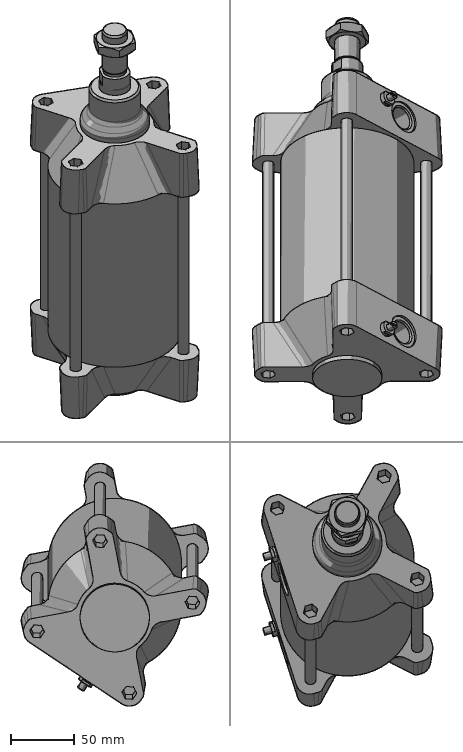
import cadquery as cq
import math


total_width = 122.0
total_height = 333.0
spigot_height = 3.5
head_height = 41.0
barrel_length = 157.0
lower_head_top = spigot_height + head_height
upper_head_bottom = lower_head_top + barrel_length
upper_head_top = upper_head_bottom + head_height
neck_top = 278.0

head_width = 113.0
head_half_width = head_width / 2
head_draft = 1.3
draft_angle = math.degrees(math.atan(head_draft / head_height))
notch_root = 17.3
arm_outer_radius = 11.0
arm_side_radius = 4.3
cone_end_radius = 31.0
cone_fillet = 8.3
bolt_offset = 44.3
socket_width = 10.0
socket_corner_diameter = socket_width / math.cos(math.pi / 6)
socket_depth = 16.5

barrel_diameter = 106.0
tie_rod_diameter = 9.0
collar_diameter = 55.0
neck_diameter = 41.0
collar_cone_bottom = 6.3
collar_blend = 5.5
neck_chamfer = 1.5

port_y = -8.0
port_from_end = 18.5
port_face_diameter = 27.0
port_face_depth = 1.0
port_mouth_diameter = 21.0
port_bore_diameter = 18.5
port_depth = 15.0
bleed_y = 12.0
bleed_from_end = 11.3
bleed_tip_x = head_half_width - total_width
bleed_shank_length = 6.0
bleed_shank_diameter = 6.0
bleed_disc_diameter = 12.0
bleed_flats_width = 9.3
bleed_flats_length = 2.3
bleed_root_x = -53.3
slot_width = 1.0
slot_depth = 1.5

rod_diameter = 25.0
rod_step_z = 283.5
rod_step_height = 0.5
wrench_diameter = 24.5
flats_bottom_z = 284.0
flats_width = 22.5
wrench_top_z = 293.5
relief_diameter = 18.5
thread_bottom_z = 296.5
thread_diameter = 20.0
tip_diameter = 18.0
tip_chamfer_height = 2.0

nut_bottom_z = 316.0
nut_height = 9.0
nut_width = 30.0
nut_corner_diameter = nut_width / math.cos(math.pi / 6)
nut_turn = -3.0
nut_face_diameter = 29.3
nut_chamfer_height = 1.3


def cylinder(diameter, bottom, top):
    return cq.Workplane("XY").workplane(offset=bottom).circle(diameter / 2).extrude(top - bottom)


def side_cylinder(diameter, y, z, start_x, end_x):
    """Cylinder along +X from start_x to end_x."""
    plane = cq.Workplane("YZ", origin=(start_x, y, z))
    return plane.circle(diameter / 2).extrude(end_x - start_x)


def make_arm_plate():
    """Drafted X-shaped plate on z = 0, closed on the -X side, with rounded arm ends."""
    w = head_half_width
    side = w - notch_root
    outline = [
        (-w, -w), (-side, -w), (0, -notch_root), (side, -w),
        (w, -w), (w, -side), (notch_root, 0), (w, side),
        (w, w), (side, w), (0, notch_root), (-side, w), (-w, w),
    ]
    plate = cq.Workplane("XY").polyline(outline).close().extrude(head_height, taper=draft_angle)

    def rises(edge):
        return edge.BoundingBox().zlen > head_height / 2

    def is_outer_corner(edge):
        center = edge.Center()
        return rises(edge) and min(abs(center.x), abs(center.y)) > bolt_offset

    def is_arm_side(edge):
        center = edge.Center()
        nearest = min(abs(center.x), abs(center.y))
        return rises(edge) and notch_root < nearest < bolt_offset

    plate = plate.newObject(plate.edges().filter(is_outer_corner).vals()).fillet(arm_outer_radius)
    return plate.newObject(plate.edges().filter(is_arm_side).vals()).fillet(arm_side_radius)


def add_core_cone(plate):
    """Cone that narrows from the barrel to the outer end, blended into the arm walls."""
    cone = cq.Workplane(
        cq.Solid.makeCone(barrel_diameter / 2, cone_end_radius, head_height)
    )
    head = plate.union(cone)

    def joins_cone_and_wall(edge):
        center = edge.Center()
        rises = edge.BoundingBox().zlen > head_height / 2
        return rises and math.hypot(center.x, center.y) < barrel_diameter / 2

    return head.newObject(head.edges().filter(joins_cone_and_wall).vals()).fillet(cone_fillet)


def cut_port(head):
    """Spot-faced air port with a conical mouth."""
    z = head_height - port_from_end
    outside_x = bleed_tip_x
    face_x = -head_half_width + head_draft + port_face_depth
    mouth_depth = (port_mouth_diameter - port_bore_diameter) / 2
    spot_face = side_cylinder(port_face_diameter, port_y, z, outside_x, face_x)
    bore = side_cylinder(port_bore_diameter, port_y, z, outside_x, face_x + port_depth)
    mouth = cq.Workplane(
        cq.Solid.makeCone(
            port_mouth_diameter / 2,
            port_bore_diameter / 2,
            mouth_depth,
            pnt=cq.Vector(face_x, port_y, z),
            dir=cq.Vector(1, 0, 0),
        )
    )
    return head.cut(spot_face).cut(bore).cut(mouth)


def add_bleed_screw(head):
    """Slotted bleed screw whose round flange has two flats."""
    z = head_height - bleed_from_end
    flange_x = bleed_tip_x + bleed_shank_length
    flats_end_x = flange_x + bleed_flats_length
    shank = side_cylinder(bleed_shank_diameter, bleed_y, z, bleed_tip_x, bleed_root_x)
    flange = side_cylinder(bleed_disc_diameter, bleed_y, z, flats_end_x, bleed_root_x)
    flats = side_cylinder(bleed_disc_diameter, bleed_y, z, flange_x, flats_end_x).intersect(
        cq.Workplane("XY", origin=(flange_x, bleed_y, z)).box(
            2 * bleed_flats_length, bleed_disc_diameter, bleed_flats_width
        )
    )
    slot = cq.Workplane("XY", origin=(bleed_tip_x, bleed_y, z)).box(
        2 * slot_depth, bleed_shank_diameter, slot_width
    )
    return head.union(flange).union(flats).union(shank).cut(slot)


def make_head():
    """End head with its inner face on z = 0, and hexagon sockets in its outer face."""
    head = add_core_cone(make_arm_plate())
    sockets = (
        cq.Workplane("XY", origin=(0, 0, head_height - socket_depth))
        .rect(2 * bolt_offset, 2 * bolt_offset, forConstruction=True)
        .vertices()
        .polygon(6, socket_corner_diameter)
        .extrude(socket_depth)
    )
    return add_bleed_screw(cut_port(head.cut(sockets)))


def make_neck():
    """Rod-end collar and neck, joined by a 45 degree cone with rounded ends."""
    collar_radius = collar_diameter / 2
    neck_radius = neck_diameter / 2
    cone_bottom = upper_head_top + collar_cone_bottom
    cone_top = cone_bottom + collar_radius - neck_radius
    straight = collar_blend * math.tan(math.pi / 8)
    sloped = straight * math.sin(math.pi / 4)
    bulge = collar_blend * (1 - math.cos(math.pi / 8))
    rise = collar_blend * math.sin(math.pi / 8)
    return (
        cq.Workplane("XZ")
        .moveTo(0, upper_head_top)
        .lineTo(collar_radius, upper_head_top)
        .lineTo(collar_radius, cone_bottom - straight)
        .threePointArc(
            (collar_radius - bulge, cone_bottom - straight + rise),
            (collar_radius - sloped, cone_bottom + sloped),
        )
        .lineTo(neck_radius + sloped, cone_top - sloped)
        .threePointArc(
            (neck_radius + bulge, cone_top + straight - rise),
            (neck_radius, cone_top + straight),
        )
        .lineTo(neck_radius, neck_top - neck_chamfer)
        .lineTo(neck_radius - neck_chamfer, neck_top)
        .lineTo(0, neck_top)
        .close()
        .revolve(360, (0, 0, 0), (0, 1, 0))
    )


def make_housing():
    """Two mirrored heads, barrel, tie rods, rear spigot and front neck."""
    head = make_head()
    upper_head = head.translate((0, 0, upper_head_bottom))
    lower_head = head.mirror("XY").translate((0, 0, lower_head_top))
    barrel = cylinder(barrel_diameter, lower_head_top, upper_head_bottom)
    spigot = cylinder(collar_diameter, 0, spigot_height)
    tie_rods = (
        cq.Workplane("XY", origin=(0, 0, lower_head_top))
        .rect(2 * bolt_offset, 2 * bolt_offset, forConstruction=True)
        .vertices()
        .circle(tie_rod_diameter / 2)
        .extrude(barrel_length)
    )
    housing = barrel.union(upper_head).union(lower_head).union(tie_rods)
    return housing.union(spigot).union(make_neck())


def make_rod():
    """Piston rod standing on the neck: shank, wrench flats, thread relief and thread."""
    shank = cylinder(rod_diameter, neck_top, rod_step_z).faces(">Z").chamfer(
        rod_step_height, (rod_diameter - wrench_diameter) / 2
    )
    wrench = cylinder(wrench_diameter, rod_step_z, wrench_top_z)
    waste_depth = (rod_diameter - flats_width) / 2
    for side in (-1, 1):
        waste = cq.Workplane("XY", origin=(0, side * rod_diameter / 2, flats_bottom_z)).box(
            rod_diameter, 2 * waste_depth, wrench_top_z - flats_bottom_z, centered=(True, True, False)
        )
        wrench = wrench.cut(waste)
    relief = cylinder(relief_diameter, wrench_top_z, thread_bottom_z)
    thread = cylinder(thread_diameter, thread_bottom_z, total_height).faces(">Z").chamfer(
        tip_chamfer_height, (thread_diameter - tip_diameter) / 2
    )
    return shank.union(wrench).union(relief).union(thread)


def make_nut():
    """Hexagon nut chamfered at both ends, its corners turned slightly off the X axis."""
    nut_top_z = nut_bottom_z + nut_height
    hexagon = (
        cq.Workplane("XY", origin=(0, 0, nut_bottom_z))
        .polygon(6, nut_corner_diameter)
        .extrude(nut_height)
        .rotate((0, 0, 0), (0, 0, 1), nut_turn)
    )
    chamfer_width = (nut_corner_diameter - nut_face_diameter) / 2
    turned_blank = (
        cylinder(nut_corner_diameter, nut_bottom_z, nut_top_z)
        .faces("<Z or >Z")
        .chamfer(nut_chamfer_height, chamfer_width)
    )
    return hexagon.intersect(turned_blank).cut(cylinder(thread_diameter, nut_bottom_z, nut_top_z))


housing = make_housing()
rod = make_rod()
nut = make_nut()

result = cq.Compound.makeCompound([housing.val(), rod.val(), nut.val()])